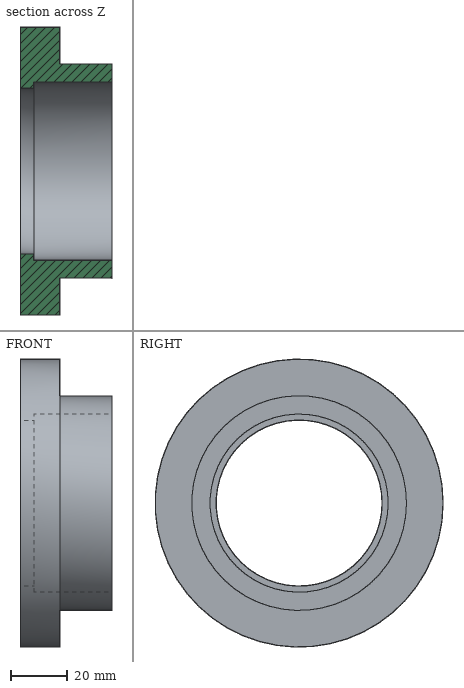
import cadquery as cq

flange_diameter = 102.0
flange_thickness = 14.0
hub_diameter = 76.0
total_length = 32.5
lip_bore_diameter = 58.6
lip_thickness = 4.8
main_bore_diameter = 63.0


def cylinder_along_x(diameter, start, end):
    """Solid cylinder on the X axis between two X positions."""
    return cq.Workplane("YZ", origin=(start, 0, 0)).circle(diameter / 2).extrude(end - start)


flange = cylinder_along_x(flange_diameter, 0, flange_thickness)
hub = cylinder_along_x(hub_diameter, 0, total_length)

lip_bore = cylinder_along_x(lip_bore_diameter, 0, total_length)
main_bore = cylinder_along_x(main_bore_diameter, lip_thickness, total_length)

result = flange.union(hub).cut(lip_bore).cut(main_bore)